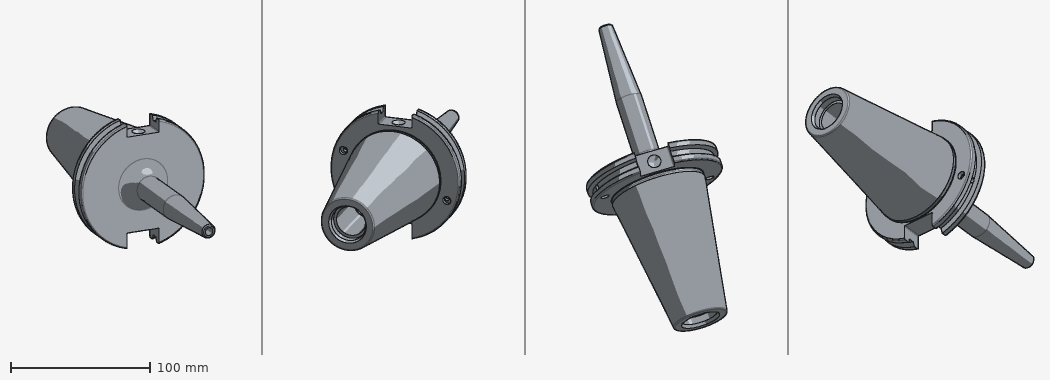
import cadquery as cq
import math


GAUGE_DIAMETER = 69.85
TAPER_LENGTH = 101.6
TAPER_RATE = 7 / 24
TAPER_END_FILLET = 1.0
NECK_GROOVE_DIAMETER = 69.25
NECK_GROOVE_START = 1.3
NECK_GROOVE_END = 2.7

FLANGE_BACK = 3.175
FLANGE_FRONT = 19.05
FLANGE_DIAMETER = 98.06
FLANGE_EDGE_FILLET = 1.0
GROOVE_CENTER = 11.1
GROOVE_FLOOR_DIAMETER = 91.4
GROOVE_FLOOR_WIDTH = 4.0
GROOVE_MOUTH_WIDTH = 7.0

SLOT_WIDTH = 25.5
SLOT_CORNER_FILLET = 0.6
UPPER_SLOT_FLOOR = 38.0
LOWER_SLOT_FLOOR = 35.3
DIMPLE_DIAMETER = 9.53
DRILL_POINT_ANGLE = 118

NOSE_LENGTH = 130.0
STEM_DIAMETER = 19.0
STEM_FILLET = 10.0
NOSE_TAPER_START = 73.0
NOSE_END_DIAMETER = 10.5
NOSE_END_CHAMFER = 1.0

PILOT_DIAMETER = 26.2
PILOT_DEPTH = 7.5
PILOT_CHAMFER_LENGTH = 2.4
PILOT_CHAMFER_HEIGHT = 1.2
THREAD_DIAMETER = 21.97
THREAD_DEPTH = 45.0
THREAD_DRILL_DIAMETER = 21.5
THREAD_DRILL_DEPTH = 50.0
COOLANT_DIAMETER = 8.0
TOOL_STOP_DIAMETER = 5.0
TOOL_STOP_LENGTH = 10.0
TOOL_DIAMETER = 6.0
TOOL_DEPTH = 36.0

PORT_ANGLE = 20
PORT_CIRCLE_RADIUS = 41.9
PORT_DIAMETER = 6.0
PORT_DEPTH = 3.0
FEED_HOLE_DIAMETER = 3.24
FEED_HOLE_OFFSET = 0.8
CROSS_HOLE_DIAMETER = 4.13


def drill_point_height(diameter):
    return diameter / 2 / math.tan(math.radians(DRILL_POINT_ANGLE / 2))


def make_body():
    taper_end_radius = GAUGE_DIAMETER / 2 - TAPER_LENGTH * TAPER_RATE / 2
    flange_radius = FLANGE_DIAMETER / 2
    stem_radius = STEM_DIAMETER / 2
    nose_radius = NOSE_END_DIAMETER / 2
    arc_offset = STEM_FILLET * (1 - math.sqrt(0.5))
    body = (
        cq.Workplane("XY")
        .moveTo(-TAPER_LENGTH, 0)
        .lineTo(-TAPER_LENGTH, taper_end_radius)
        .lineTo(0, GAUGE_DIAMETER / 2)
        .lineTo(NECK_GROOVE_START, NECK_GROOVE_DIAMETER / 2)
        .lineTo(NECK_GROOVE_END, NECK_GROOVE_DIAMETER / 2)
        .lineTo(FLANGE_BACK, GAUGE_DIAMETER / 2)
        .lineTo(FLANGE_BACK, flange_radius)
        .lineTo(FLANGE_FRONT, flange_radius)
        .lineTo(FLANGE_FRONT, stem_radius + STEM_FILLET)
        .threePointArc(
            (FLANGE_FRONT + arc_offset, stem_radius + arc_offset),
            (FLANGE_FRONT + STEM_FILLET, stem_radius),
        )
        .lineTo(NOSE_TAPER_START, stem_radius)
        .lineTo(NOSE_LENGTH - NOSE_END_CHAMFER, nose_radius)
        .lineTo(NOSE_LENGTH, nose_radius - NOSE_END_CHAMFER)
        .lineTo(NOSE_LENGTH, 0)
        .close()
        .revolve(360, (0, 0, 0), (1, 0, 0))
    )
    body = body.edges("<X").fillet(TAPER_END_FILLET)
    flange_rims = cq.selectors.RadiusNthSelector(-1)
    return body.edges(flange_rims).fillet(FLANGE_EDGE_FILLET)


def cut_gripper_groove(body):
    floor_radius = GROOVE_FLOOR_DIAMETER / 2
    rim_radius = FLANGE_DIAMETER / 2
    half_floor = GROOVE_FLOOR_WIDTH / 2
    half_mouth = GROOVE_MOUTH_WIDTH / 2
    groove = (
        cq.Workplane("XY")
        .moveTo(GROOVE_CENTER - half_floor, floor_radius)
        .lineTo(GROOVE_CENTER + half_floor, floor_radius)
        .lineTo(GROOVE_CENTER + half_mouth, rim_radius)
        .lineTo(GROOVE_CENTER - half_mouth, rim_radius)
        .close()
        .revolve(360, (0, 0, 0), (1, 0, 0))
    )
    return body.cut(groove)


def cut_drive_slots(body):
    slot_length = FLANGE_FRONT - FLANGE_BACK
    slot_center = (FLANGE_FRONT + FLANGE_BACK) / 2
    slot_height = FLANGE_DIAMETER / 2
    slots = (
        (1, UPPER_SLOT_FLOOR, "<Z"),
        (-1, LOWER_SLOT_FLOOR, ">Z"),
    )
    for side, floor, floor_face in slots:
        slot = cq.Workplane("XY").box(slot_length, SLOT_WIDTH, slot_height)
        slot = slot.faces(floor_face).edges("|X").fillet(SLOT_CORNER_FILLET)
        body = body.cut(slot.translate((slot_center, 0, side * (floor + slot_height / 2))))
    dimple_depth = drill_point_height(DIMPLE_DIAMETER)
    dimple = cq.Solid.makeCone(
        0,
        DIMPLE_DIAMETER / 2,
        dimple_depth,
        pnt=cq.Vector(GROOVE_CENTER, 0, UPPER_SLOT_FLOOR - dimple_depth),
    )
    return body.cut(cq.Workplane(dimple))


def cut_central_bores(body):
    back = -TAPER_LENGTH
    drill_end = back + THREAD_DRILL_DEPTH
    tool_end = NOSE_LENGTH - TOOL_DEPTH
    stop_start = tool_end - TOOL_STOP_LENGTH
    point_height = drill_point_height(THREAD_DRILL_DIAMETER) - drill_point_height(COOLANT_DIAMETER)
    bore = (
        cq.Workplane("XY")
        .moveTo(back, 0)
        .lineTo(back, PILOT_DIAMETER / 2 + PILOT_CHAMFER_HEIGHT)
        .lineTo(back + PILOT_CHAMFER_LENGTH, PILOT_DIAMETER / 2)
        .lineTo(back + PILOT_DEPTH, PILOT_DIAMETER / 2)
        .lineTo(back + PILOT_DEPTH, THREAD_DIAMETER / 2)
        .lineTo(back + THREAD_DEPTH, THREAD_DIAMETER / 2)
        .lineTo(back + THREAD_DEPTH, THREAD_DRILL_DIAMETER / 2)
        .lineTo(drill_end, THREAD_DRILL_DIAMETER / 2)
        .lineTo(drill_end + point_height, COOLANT_DIAMETER / 2)
        .lineTo(stop_start, COOLANT_DIAMETER / 2)
        .lineTo(stop_start, TOOL_STOP_DIAMETER / 2)
        .lineTo(tool_end, TOOL_STOP_DIAMETER / 2)
        .lineTo(tool_end, TOOL_DIAMETER / 2)
        .lineTo(NOSE_LENGTH, TOOL_DIAMETER / 2)
        .lineTo(NOSE_LENGTH, 0)
        .close()
        .revolve(360, (0, 0, 0), (1, 0, 0))
    )
    return body.cut(bore)


def cut_coolant_holes(body):
    angle = math.radians(PORT_ANGLE)
    x_axis = cq.Vector(1, 0, 0)
    feed_radius = FEED_HOLE_DIAMETER / 2
    for side in (1, -1):
        outward = cq.Vector(0, side * math.cos(angle), side * math.sin(angle))
        port_center = outward * PORT_CIRCLE_RADIUS + cq.Vector(FLANGE_BACK, 0, 0)
        port = cq.Solid.makeCylinder(PORT_DIAMETER / 2, PORT_DEPTH, port_center, x_axis)
        feed_hole = cq.Solid.makeCylinder(
            feed_radius, GROOVE_CENTER - FLANGE_BACK, port_center - outward * FEED_HOLE_OFFSET, x_axis
        )
        cross_hole = cq.Solid.makeCylinder(
            CROSS_HOLE_DIAMETER / 2, FLANGE_DIAMETER / 2, cq.Vector(GROOVE_CENTER, 0, 0), outward
        )
        for hole in (port, feed_hole, cross_hole):
            body = body.cut(cq.Workplane(hole))
    return body


result = make_body()
result = cut_gripper_groove(result)
result = cut_drive_slots(result)
result = cut_central_bores(result)
result = cut_coolant_holes(result)